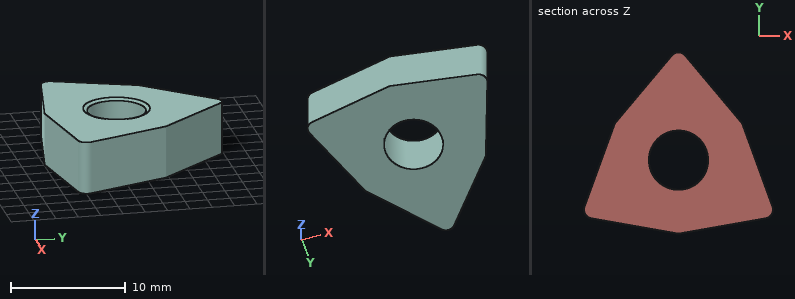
import cadquery as cq
import math

overall_width = 16.55
thickness = 4.77
corner_angle = 80.0
corner_count = 3
first_corner = 90
nose_radius = 0.8
hole_diameter = 5.16
chamfer_width = 0.35
chamfer_depth = 0.2
mid_vertex_radius = 0.13

corner_step = 360 / corner_count
lower_corner_slope = first_corner + corner_step - 180
half_corner = math.radians(corner_angle / 2)
nose_center_distance = (overall_width / 2 - nose_radius) / math.cos(math.radians(lower_corner_slope))
inscribed_radius = nose_center_distance * math.sin(half_corner) + nose_radius
corner_distance = inscribed_radius / math.sin(half_corner)

edge_normal_offset = 90 - corner_angle / 2
mid_vertex_offset = corner_step / 2 - edge_normal_offset
mid_vertex_distance = inscribed_radius / math.cos(math.radians(mid_vertex_offset))


def polar_point(distance, degrees):
    angle = math.radians(degrees)
    return (distance * math.cos(angle), distance * math.sin(angle))


def make_body():
    outline = []
    for index in range(corner_count):
        direction = first_corner + index * corner_step
        outline.append(polar_point(corner_distance, direction))
        outline.append(polar_point(mid_vertex_distance, direction + corner_step / 2))
    return cq.Workplane("XY").polyline(outline).close().extrude(thickness)


def round_upright_edges(body, distance, first_direction, radius):
    for index in range(corner_count):
        x, y = polar_point(distance, first_direction + index * corner_step)
        upright_edge = cq.selectors.NearestToPointSelector((x, y, thickness / 2))
        body = body.edges(upright_edge).fillet(radius)
    return body


def cut_hole(body):
    hole_radius = hole_diameter / 2
    hole = cq.Workplane("XY").circle(hole_radius).extrude(thickness)
    half_section = [
        (0, thickness - chamfer_depth),
        (hole_radius, thickness - chamfer_depth),
        (hole_radius + chamfer_width, thickness),
        (0, thickness),
    ]
    countersink = cq.Workplane("XZ").polyline(half_section).close().revolve(360, (0, 0), (0, 1))
    return body.cut(hole).cut(countersink)


body = make_body()
body = round_upright_edges(body, corner_distance, first_corner, nose_radius)
body = round_upright_edges(body, mid_vertex_distance, first_corner + corner_step / 2, mid_vertex_radius)
result = cut_hole(body)